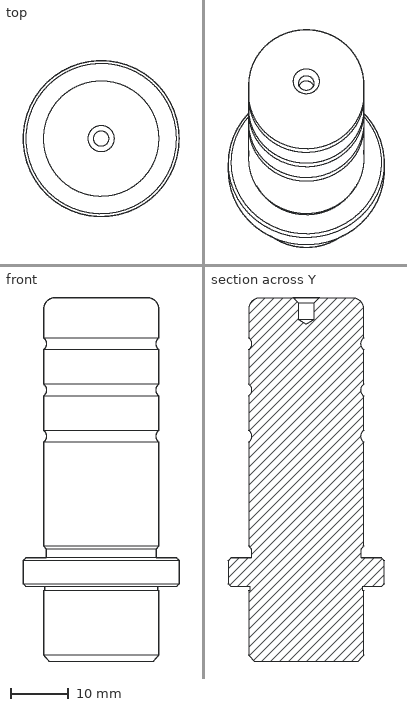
import cadquery as cq
import math

length = 63.0
pin_diameter = 20.0
pin_radius = pin_diameter / 2
top_round = 2.0

flange_diameter = 27.0
flange_radius = flange_diameter / 2
flange_bottom = 13.0
flange_top = 18.0
flange_chamfer = 0.5

upper_neck_depth = 0.45
upper_neck_length = 2.0
upper_neck_chamfer_height = 0.55
lower_neck_depth = 0.2
lower_neck_length = 0.6

lead_chamfer_height = 1.15
lead_chamfer_width = 1.0

groove_count = 3
groove_pitch = 8.0
groove_width = 2.0
groove_depth = 0.5
first_groove_drop = 8.0

hole_radius = 1.3
countersink_radius = 2.25
hole_depth = 3.8
drill_point_angle = 118


def revolve_about_z(profile):
    return profile.close().revolve(360, (0, 0, 0), (0, 1, 0))


def make_body():
    upper_neck_radius = pin_radius - upper_neck_depth
    lower_neck_radius = pin_radius - lower_neck_depth
    upper_neck_top = flange_top + upper_neck_length
    lower_neck_bottom = flange_bottom - lower_neck_length
    round_center_radius = pin_radius - top_round
    round_center_z = length - top_round
    round_mid_offset = top_round * math.sqrt(0.5)

    profile = (
        cq.Workplane("XZ")
        .lineTo(pin_radius - lead_chamfer_width, 0)
        .lineTo(pin_radius, lead_chamfer_height)
        .lineTo(pin_radius, lower_neck_bottom)
        .lineTo(lower_neck_radius, lower_neck_bottom)
        .lineTo(lower_neck_radius, flange_bottom)
        .lineTo(flange_radius - flange_chamfer, flange_bottom)
        .lineTo(flange_radius, flange_bottom + flange_chamfer)
        .lineTo(flange_radius, flange_top - flange_chamfer)
        .lineTo(flange_radius - flange_chamfer, flange_top)
        .lineTo(upper_neck_radius, flange_top)
        .lineTo(upper_neck_radius, upper_neck_top - upper_neck_chamfer_height)
        .lineTo(pin_radius, upper_neck_top)
    )
    for index in reversed(range(groove_count)):
        groove_z = length - first_groove_drop - index * groove_pitch
        profile = profile.lineTo(pin_radius, groove_z - groove_width / 2).threePointArc(
            (pin_radius - groove_depth, groove_z),
            (pin_radius, groove_z + groove_width / 2),
        )
    profile = (
        profile.lineTo(pin_radius, round_center_z)
        .threePointArc(
            (round_center_radius + round_mid_offset, round_center_z + round_mid_offset),
            (round_center_radius, length),
        )
        .lineTo(0, length)
    )
    return revolve_about_z(profile)


def make_center_hole():
    countersink_depth = countersink_radius - hole_radius
    point_depth = hole_radius / math.tan(math.radians(drill_point_angle / 2))
    floor_z = length - hole_depth
    profile = (
        cq.Workplane("XZ")
        .moveTo(0, length)
        .lineTo(countersink_radius, length)
        .lineTo(hole_radius, length - countersink_depth)
        .lineTo(hole_radius, floor_z)
        .lineTo(0, floor_z - point_depth)
    )
    return revolve_about_z(profile)


result = make_body().cut(make_center_hole())